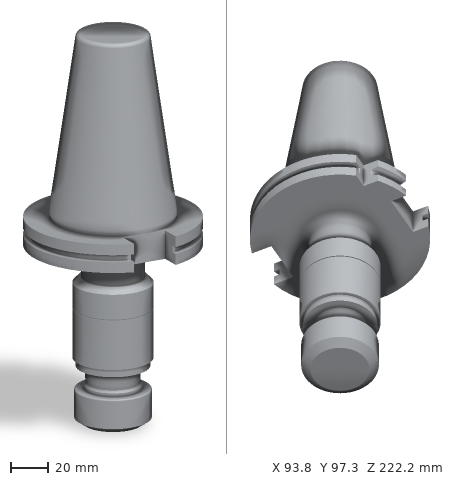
import cadquery as cq
import math

total_height = 222.2
flange_bottom = 101.5
flange_top = 117.8

taper_ratio = 7 / 24
gauge_diameter = 69.8
gauge_land_bottom = 119.8
gauge_land_top = 120.5
undercut_diameter = 69.3
taper_end = 220.2
tip_flat_diameter = 36.0
tip_round_radius = 2.5

flange_diameter = 97.3
groove_diameter = 90.7
groove_width = 4.0
flared_groove_width = 6.7
groove_z = (flange_bottom + flange_top) / 2

slot_width = 25.8
left_slot_floor = -37.8
right_slot_floor = 35.0
notch_x = -29.8
notch_y = 29.8

neck_diameter = 34.7
neck_fillet = 4.9

body_diameter = 44.0
body_top = 83.5
body_chamfer = 3.3
body_bottom = 37.3
seam_z = 65.8
seam_width = 0.7
seam_depth = 0.7
collar_diameter = 40.5
collar_bottom = 32.7

stem_diameter = 30.0
stem_bottom = 25.3
relief_diameter = 29.5
relief_bottom = 23.3
ring_diameter = 32.0
ring_top = 22.0
nut_diameter = 42.0
nut_top = 20.0
nut_top_round = 0.9
nut_chamfer_height = 3.3
nut_face_diameter = 32.0


def turned_body():
    """Revolve the half profile, drawn from the nose up to the taper tip."""
    neck_r = neck_diameter / 2
    body_r = body_diameter / 2
    nut_r = nut_diameter / 2
    gauge_r = gauge_diameter / 2
    taper_end_r = gauge_r - (taper_end - gauge_land_top) * taper_ratio / 2
    profile = (
        cq.Workplane("XZ")
        .lineTo(nut_face_diameter / 2, 0)
        .lineTo(nut_r, nut_chamfer_height)
        .lineTo(nut_r, nut_top - nut_top_round)
        .radiusArc((nut_r - nut_top_round, nut_top), -nut_top_round)
        .lineTo(ring_diameter / 2, nut_top)
        .lineTo(ring_diameter / 2, ring_top)
        .lineTo(relief_diameter / 2, relief_bottom)
        .lineTo(relief_diameter / 2, stem_bottom)
        .lineTo(stem_diameter / 2, stem_bottom)
        .lineTo(stem_diameter / 2, collar_bottom)
        .lineTo(collar_diameter / 2, collar_bottom)
        .lineTo(collar_diameter / 2, body_bottom)
        .lineTo(body_r, body_bottom)
        .lineTo(body_r, body_top - body_chamfer)
        .lineTo(body_r - body_chamfer, body_top)
        .lineTo(neck_r, body_top)
        .lineTo(neck_r, flange_bottom - neck_fillet)
        .radiusArc((neck_r + neck_fillet, flange_bottom), neck_fillet)
        .lineTo(flange_diameter / 2, flange_bottom)
        .lineTo(flange_diameter / 2, flange_top)
        .lineTo(undercut_diameter / 2, flange_top)
        .lineTo(undercut_diameter / 2, gauge_land_bottom)
        .lineTo(gauge_r, gauge_land_bottom)
        .lineTo(gauge_r, gauge_land_top)
        .lineTo(taper_end_r, taper_end)
        .radiusArc((tip_flat_diameter / 2, total_height), -tip_round_radius)
        .lineTo(0, total_height)
        .close()
    )
    return profile.revolve(360, (0, 0), (0, 1))


def ring_groove(outer_diameter, floor_diameter, z, floor_width, mouth_width):
    """Cutter for a groove round the axis; a wider mouth gives sloped walls."""
    outer_r = outer_diameter / 2
    floor_r = floor_diameter / 2
    section = [
        (floor_r, z - floor_width / 2),
        (outer_r, z - mouth_width / 2),
        (outer_r, z + mouth_width / 2),
        (floor_r, z + floor_width / 2),
    ]
    return cq.Workplane("XZ").polyline(section).close().revolve(360, (0, 0), (0, 1))


def flange_block(x_from, x_to, y_from, y_to):
    """Box over the full flange thickness between the given X and Y limits."""
    return (
        cq.Workplane("XY", origin=(0, 0, flange_bottom))
        .moveTo(x_from, y_from)
        .lineTo(x_to, y_from)
        .lineTo(x_to, y_to)
        .lineTo(x_from, y_to)
        .close()
        .extrude(flange_top - flange_bottom)
    )


def flared_groove():
    """Sloped groove walls on the short rim stretch between slot and notch."""
    groove = ring_groove(flange_diameter, groove_diameter, groove_z, groove_width, flared_groove_width)
    stretch = flange_block(-flange_diameter, notch_x, 0, notch_y)
    return groove.intersect(stretch)


result = turned_body()

result = result.cut(ring_groove(flange_diameter, groove_diameter, groove_z, groove_width, groove_width))
result = result.cut(flared_groove())
result = result.cut(
    ring_groove(body_diameter, body_diameter - 2 * seam_depth, seam_z, seam_width, seam_width)
)

for slot_floor in (left_slot_floor, right_slot_floor):
    slot_end = math.copysign(flange_diameter, slot_floor)
    result = result.cut(flange_block(slot_floor, slot_end, -slot_width / 2, slot_width / 2))
result = result.cut(flange_block(-flange_diameter, notch_x, notch_y, flange_diameter))